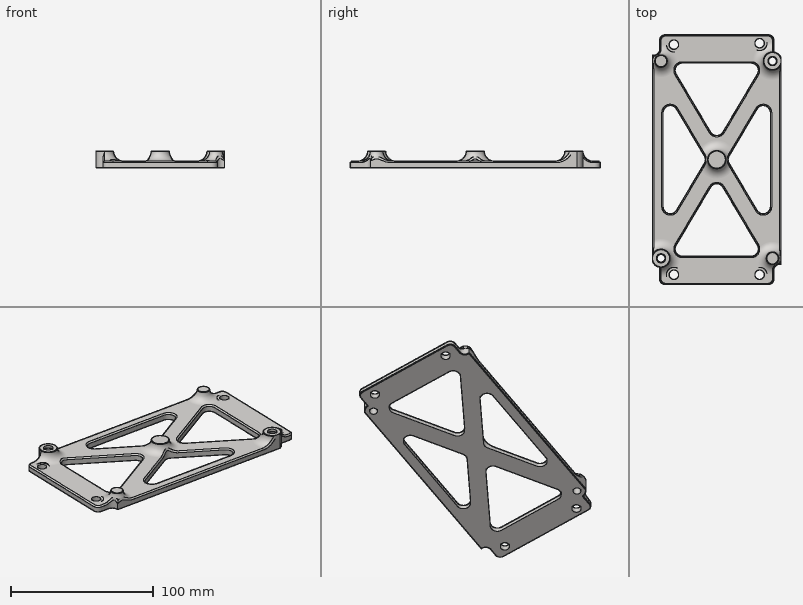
import cadquery as cq
import math

plate_thickness = 5.0
body_width = 90.0
body_half_length = 73.2
tab_width = 80.0
total_length = 175.0
tab_corner_radius = 4.0
step_fillet_radius = 4.0
top_chamfer = 1.0
bottom_chamfer = 0.5

total_height = 12.0
flare_radius = total_height - plate_thickness
post_x = 39.0
post_y = 69.0
wide_post_radius = 6.4
slim_post_radius = 4.4
rim_chamfer = 0.4
wide_corner_posts = [(post_x, post_y), (-post_x, -post_y)]
slim_corner_posts = [(-post_x, post_y), (post_x, -post_y)]
post_sizes = [((0, 0), wide_post_radius)]
post_sizes += [(point, wide_post_radius) for point in wide_corner_posts]
post_sizes += [(point, slim_post_radius) for point in slim_corner_posts]

post_hole_diameter = 5.4
counterbore_diameter = 6.45
counterbore_depth = 1.8

tab_hole_diameter = 6.45
clearance_diameter = 10.4
tab_hole_points = [(-30.0, 80.5), (30.0, 81.5), (-30.0, -80.5), (30.0, -80.5)]

arm_angle = math.radians(59.3)
arm_half_width = 6.2
window_corner_radius = 5.0
end_window_y = 67.5
side_window_x = 37.5

body_x = body_width / 2
tab_x = tab_width / 2
end_y = total_length / 2


def outline(with_post_corners=True):
    """Plate outline, point-symmetric about the origin and drawn as two equal halves.

    Without the rounded post corners the side of a tab runs straight on to y = 0.
    """
    corner_x = tab_x - tab_corner_radius
    corner_y = end_y - tab_corner_radius
    body_meet_y = post_y + math.sqrt(wide_post_radius**2 - (body_x - post_x) ** 2)
    tab_meet_y = post_y + math.sqrt(wide_post_radius**2 - (tab_x - post_x) ** 2)
    diagonal = wide_post_radius * math.sqrt(0.5)
    arc_x = post_x + diagonal
    arc_y = post_y + diagonal

    sketch = cq.Workplane("XY").moveTo(body_x, -body_half_length)
    for s in (1, -1):
        if with_post_corners:
            sketch = sketch.lineTo(s * body_x, s * body_meet_y)
            sketch = sketch.threePointArc((s * arc_x, s * arc_y), (s * tab_x, s * tab_meet_y))
        else:
            sketch = sketch.lineTo(s * body_x, 0).lineTo(s * tab_x, 0)
        sketch = (
            sketch.lineTo(s * tab_x, s * corner_y)
            .radiusArc((s * corner_x, s * end_y), -tab_corner_radius)
            .lineTo(-s * corner_x, s * end_y)
            .radiusArc((-s * tab_x, s * corner_y), -tab_corner_radius)
            .lineTo(-s * tab_x, s * (body_half_length + step_fillet_radius))
            .radiusArc((-s * (tab_x + step_fillet_radius), s * body_half_length), step_fillet_radius)
            .lineTo(-s * body_x, s * body_half_length)
        )
    return sketch.close()


def turned(profile, point):
    """Revolve an XZ profile about Z and move it to a post, its seam towards the plate's edge-free side."""
    x, y = point
    seam_angle = math.degrees(math.atan2(-y, -x)) if x else 90
    solid = profile.close().revolve(360, (0, 0, 0), (0, 1, 0))
    return solid.rotate((0, 0, 0), (0, 0, 1), seam_angle).translate((x, y, 0))


def flared_posts():
    """Round posts whose feet sweep out onto the plate in a concave quarter circle."""
    posts = cq.Workplane("XY")
    for point, radius in post_sizes:
        foot_radius = radius + flare_radius
        profile = (
            cq.Workplane("XZ")
            .lineTo(foot_radius, 0)
            .lineTo(foot_radius, plate_thickness)
            .radiusArc((radius, total_height), flare_radius)
            .lineTo(0, total_height)
        )
        posts = posts.add(turned(profile, point))
    return posts.combine()


def blank(posts, with_post_corners=True):
    """Plate with its posts, the flares cut off flush with the outline."""
    plate = outline(with_post_corners).extrude(plate_thickness)
    envelope = outline(with_post_corners).extrude(total_height)
    return plate.union(posts.intersect(envelope))


def chamfer_rims(solid, points):
    """Chamfer the top edge nearest each point, and every edge that runs on smoothly from it."""
    edges = cq.Workplane("XY")
    for point in points:
        edges = edges.add(solid.edges(cq.selectors.NearestToPointSelector(point)))
    return solid.newObject(edges.vals()).chamfer(top_chamfer)


def tab_chamfer_cutter(posts):
    """Material that the chamfer around both tabs removes, up to the wide posts."""
    sharp = blank(posts, with_post_corners=False)
    chamfered = chamfer_rims(sharp, [(0, s * end_y, plate_thickness) for s in (1, -1)])
    return sharp.cut(chamfered).cut(round_cutters(wide_corner_posts, 2 * wide_post_radius))


def round_cutters(points, diameter, bottom=0.0):
    """Vertical cylinders from the given height up to the top of the part."""
    plane = cq.Workplane("XY", origin=(0, 0, bottom))
    return plane.pushPoints(points).circle(diameter / 2).extrude(total_height - bottom)


def windows():
    """Two end windows and two side windows bounded by the diagonal arms."""
    slope = math.tan(arm_angle)
    tip_x = arm_half_width / math.sin(arm_angle)
    tip_y = arm_half_width / math.cos(arm_angle)
    end_half_width = (end_window_y - tip_y) / slope
    side_half_length = (side_window_x - tip_x) * slope
    cutters = cq.Workplane("XY")
    for s in (1, -1):
        far_x = s * side_window_x
        far_y = s * end_window_y
        end_points = [(0, s * tip_y), (end_half_width, far_y), (-end_half_width, far_y)]
        side_points = [(s * tip_x, 0), (far_x, side_half_length), (far_x, -side_half_length)]
        for points in (end_points, side_points):
            window = cq.Workplane("XY").polyline(points).close().extrude(total_height)
            cutters = cutters.add(window.edges("|Z").fillet(window_corner_radius))
    return cutters.combine()


def rim_cutter(point, radius):
    """Triangular ring that bevels the top rim of a post."""
    inner = radius - rim_chamfer
    outer = radius + rim_chamfer
    profile = (
        cq.Workplane("XZ")
        .moveTo(inner, total_height)
        .lineTo(outer, total_height)
        .lineTo(outer, total_height - 2 * rim_chamfer)
    )
    return turned(profile, point)


def underside_cutter():
    """Material that a chamfer around the outline removes at the underside."""
    narrowing = outline().extrude(-bottom_chamfer, taper=45).translate((0, 0, bottom_chamfer))
    return outline().extrude(bottom_chamfer).cut(narrowing)


posts = flared_posts()
side_edges = [(s * body_x, 0, plate_thickness) for s in (1, -1)]
part = chamfer_rims(blank(posts), side_edges)
part = part.cut(tab_chamfer_cutter(posts))

window_edges = [(0, s * end_window_y, plate_thickness) for s in (1, -1)]
window_edges += [(s * side_window_x, 0, plate_thickness) for s in (1, -1)]
part = chamfer_rims(part.cut(windows()), window_edges)

part = part.cut(underside_cutter())

part = part.cut(round_cutters(tab_hole_points, clearance_diameter, plate_thickness))
for post_point, post_radius in post_sizes:
    part = part.cut(rim_cutter(post_point, post_radius))
part = part.cut(round_cutters(tab_hole_points, tab_hole_diameter))
part = part.cut(round_cutters(wide_corner_posts, post_hole_diameter))
part = part.cut(round_cutters(wide_corner_posts, counterbore_diameter, total_height - counterbore_depth))

result = part